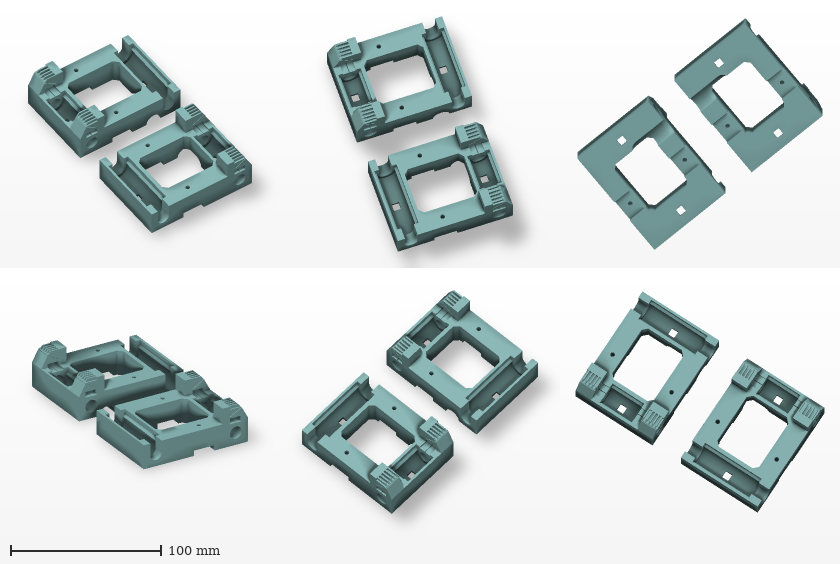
import cadquery as cq

OVERALL_LENGTH = 145.0
HOLDER_WIDTH = 61.2
HOLDER_DEPTH = 81.0
BASE_HEIGHT = 17.8
TOTAL_HEIGHT = 29.5
HOLDER_X = (OVERALL_LENGTH - HOLDER_WIDTH) / 2
HALF_WIDTH = HOLDER_WIDTH / 2
HALF_DEPTH = HOLDER_DEPTH / 2

BORE_DIAMETER = 9.0
BORE_Y = 31.0
BORE_Z = 9.0
POCKET_RADIUS = 7.2
POCKET_MOUTH = 15.7
POCKET_LIP = 12.5
LONG_POCKET = 45.0
SHORT_POCKET = 25.2
LIP_Z = BORE_Z + (POCKET_RADIUS**2 - (POCKET_LIP / 2) ** 2) ** 0.5
LIP_RAMP = (POCKET_MOUTH - POCKET_LIP) / 2
EJECT_HOLE = 5.1

CLAMP_WIDTH = 12.2
CLAMP_DEPTH = 19.7
SHOULDER_INSET = 4.8
SHOULDER_DROP = 2.9
CREST_INSET = 7.1
WINDOW_BOTTOM = 16.4
WINDOW_TOP = 20.6
SLIT_WIDTH = 0.5
WIRE_SLIT_END_Z = 21.6

RIB_WIDTH = 0.94
RIB_GROOVE_WIDTH = 1.6
RIB_GROOVE_DEPTH = 2.2
RIB_COUNT = 5
RIB_PITCH = RIB_WIDTH + RIB_GROOVE_WIDTH

OPENING_WIDTH = 33.2
OPENING_DEPTH = 41.8
OPENING_Y = 0.5
OPENING_CHAMFER = 3.2
RAIL_Y = -6.5
RAIL_SLOT_WIDTH = 16.2
RAIL_SLOT_HEIGHT = 3.9
SCREW_DIAMETER = 3.0
SCREW_X = 23.5
CHANNEL_RADIUS = 5.8
CHANNEL_Y = 18.8
CHANNEL_END_X = 6.5


def box(x_range, y_range, z_range):
    """Box between two values on each axis, given in any order."""
    (x0, x1), (y0, y1), (z0, z1) = map(sorted, (x_range, y_range, z_range))
    return cq.Workplane("XY").box(x1 - x0, y1 - y0, z1 - z0, centered=False).translate((x0, y0, z0))


def extrude_along_x(outline, x_start, length):
    """Extrude a closed list of (y, z) points along +X."""
    return cq.Workplane("YZ", origin=(x_start, 0, 0)).polyline(outline).close().extrude(length)


def cylinder_along_x(radius, y, z, x_start, length):
    return cq.Workplane("YZ", origin=(x_start, 0, 0)).center(y, z).circle(radius).extrude(length)


def clamp_block(end, side):
    """Clamp with a sloped back and ribbed crest; end is its Y side, side its X side."""
    outline = [
        (end * (HALF_DEPTH - CLAMP_DEPTH), 0),
        (end * HALF_DEPTH, 0),
        (end * HALF_DEPTH, BASE_HEIGHT),
        (end * (HALF_DEPTH - SHOULDER_INSET), TOTAL_HEIGHT - SHOULDER_DROP),
        (end * (HALF_DEPTH - CREST_INSET), TOTAL_HEIGHT),
        (end * (HALF_DEPTH - CLAMP_DEPTH), TOTAL_HEIGHT),
    ]
    inner_x = HALF_WIDTH - CLAMP_WIDTH
    block = extrude_along_x(outline, min(side * inner_x, side * HALF_WIDTH), CLAMP_WIDTH)
    for rib in range(RIB_COUNT):
        groove_start = inner_x + rib * RIB_PITCH + RIB_WIDTH
        groove_end = min(groove_start + RIB_GROOVE_WIDTH, HALF_WIDTH)
        groove = box(
            (side * groove_start, side * groove_end),
            (end * (BORE_Y - BORE_DIAMETER / 2), end * HALF_DEPTH),
            (TOTAL_HEIGHT - RIB_GROOVE_DEPTH, TOTAL_HEIGHT),
        )
        block = block.cut(groove)
    return block


def wire_slit(end):
    """Thin slit sloping inward from the shoulder of the clamps."""
    inner_y = BORE_Y - BORE_DIAMETER / 2
    shoulder_y = HALF_DEPTH - SHOULDER_INSET
    shoulder_z = TOTAL_HEIGHT - SHOULDER_DROP
    slope = (shoulder_z - WIRE_SLIT_END_Z) / (shoulder_y - inner_y)
    mouth_z = shoulder_z + slope * (HALF_DEPTH - shoulder_y)
    outline = [
        (end * inner_y, WIRE_SLIT_END_Z),
        (end * HALF_DEPTH, mouth_z),
        (end * HALF_DEPTH, mouth_z + SLIT_WIDTH),
        (end * inner_y, WIRE_SLIT_END_Z + SLIT_WIDTH),
    ]
    return extrude_along_x(outline, -HALF_WIDTH, HOLDER_WIDTH)


def battery_pocket(end, length):
    """Round snap-in pocket with a ramped mouth and an ejection hole in its floor."""
    y = end * BORE_Y
    ramp_z = LIP_Z + LIP_RAMP
    mouth = [
        (y - POCKET_LIP / 2, BORE_Z),
        (y + POCKET_LIP / 2, BORE_Z),
        (y + POCKET_LIP / 2, LIP_Z),
        (y + POCKET_MOUTH / 2, ramp_z),
        (y + POCKET_MOUTH / 2, TOTAL_HEIGHT),
        (y - POCKET_MOUTH / 2, TOTAL_HEIGHT),
        (y - POCKET_MOUTH / 2, ramp_z),
        (y - POCKET_LIP / 2, LIP_Z),
    ]
    pocket = cylinder_along_x(POCKET_RADIUS, y, BORE_Z, -length / 2, length)
    pocket = pocket.union(extrude_along_x(mouth, -length / 2, length))
    hole = cq.Workplane("XY").center(0, y).rect(EJECT_HOLE, EJECT_HOLE).extrude(BORE_Z)
    return pocket.union(hole)


def end_passage(end, width, z_bottom, z_top):
    """Straight passage over a bore, running the full width of the holder."""
    y = end * BORE_Y
    return box((-HALF_WIDTH, HALF_WIDTH), (y - width / 2, y + width / 2), (z_bottom, z_top))


def cable_channel(facing_side):
    """Round-ended channel that runs out through the side facing the other holder."""
    length = HALF_WIDTH - CHANNEL_END_X
    x_start = min(facing_side * CHANNEL_END_X, facing_side * HALF_WIDTH)
    channel = cylinder_along_x(CHANNEL_RADIUS, CHANNEL_Y, 0, x_start, length)
    round_end = cq.Workplane("XY").sphere(CHANNEL_RADIUS)
    return channel.union(round_end.translate((facing_side * CHANNEL_END_X, CHANNEL_Y, 0)))


def battery_holder(x, clamp_end):
    """Holder centred at x; the clamps stand on the clamp_end side of Y."""
    open_end = -clamp_end
    holder = cq.Workplane("XY").box(
        HOLDER_WIDTH, HOLDER_DEPTH, BASE_HEIGHT, centered=(True, True, False)
    )
    for side in (-1, 1):
        holder = holder.union(clamp_block(clamp_end, side))

    holder = holder.cut(end_passage(clamp_end, BORE_DIAMETER, WINDOW_BOTTOM, WINDOW_TOP))
    holder = holder.cut(end_passage(clamp_end, SLIT_WIDTH, BORE_Z, WINDOW_BOTTOM))
    holder = holder.cut(wire_slit(clamp_end))
    holder = holder.cut(battery_pocket(clamp_end, SHORT_POCKET))

    holder = holder.cut(end_passage(open_end, BORE_DIAMETER, BORE_Z, BASE_HEIGHT))
    holder = holder.cut(battery_pocket(open_end, LONG_POCKET))

    for end in (-1, 1):
        bore = cylinder_along_x(BORE_DIAMETER / 2, end * BORE_Y, BORE_Z, -HALF_WIDTH, HOLDER_WIDTH)
        holder = holder.cut(bore)

    opening = cq.Workplane("XY").center(0, OPENING_Y).rect(OPENING_WIDTH, OPENING_DEPTH)
    holder = holder.cut(opening.extrude(BASE_HEIGHT).edges("|Z").chamfer(OPENING_CHAMFER))

    rail_half = RAIL_SLOT_WIDTH / 2
    holder = holder.cut(
        box((-HALF_WIDTH, HALF_WIDTH), (RAIL_Y - rail_half, RAIL_Y + rail_half), (0, RAIL_SLOT_HEIGHT))
    )
    screw_points = [(-SCREW_X, RAIL_Y), (SCREW_X, RAIL_Y)]
    screws = cq.Workplane("XY").pushPoints(screw_points).circle(SCREW_DIAMETER / 2)
    holder = holder.cut(screws.extrude(BASE_HEIGHT))

    holder = holder.cut(cable_channel(facing_side=1 if x < 0 else -1))
    return holder.translate((x, 0, 0))


left_holder = battery_holder(-HOLDER_X, clamp_end=-1)
right_holder = battery_holder(HOLDER_X, clamp_end=1)

result = cq.Compound.makeCompound([left_holder.val(), right_holder.val()])